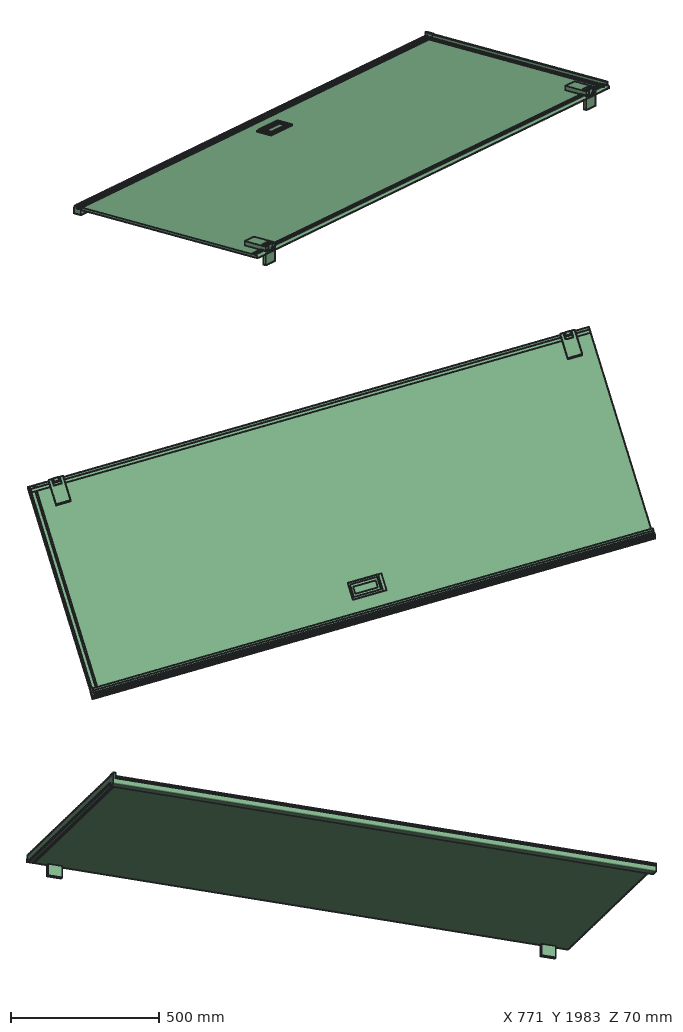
import cadquery as cq

width = 771.0
length = 1983.0
height = 70.0
left = -width / 2
right = width / 2
front = -length / 2
back = length / 2
top = height

glass_thickness = 10.0
glass_top = top - 18.0
glass_bottom = glass_top - glass_thickness
glass_front = front + 5.0

jamb_width = 30.0
jamb_base_bottom = top - 44.0
jamb_edge_radius = 2.0
wall_inset = 2.0
wall_width = 10.0
wall_chamfer = 4.0
wall_top = top - 12.9
wall_base = top - 24.0
seal_rise = 2.0
seal_top = glass_top + seal_rise
left_seal_width = 8.0

corner_block_depth = 8.0
corner_block_top = top - 4.0

flange_depth = 5.0
flange_top = top - 5.0
rail_bottom = top - 30.0
rail_depth = 25.0
rail_seal_depth = 5.0
rail_end = right - 5.0

right_seal_width = 24.0
right_seal_lip = 12.0
right_seal_radius = 8.0

hinge_centers = (892.0, -910.0)
hinge_outer = right - 2.0
hinge_width = 52.0
hinge_plate_length = 90.0
hinge_plate_top = top - 2.0
wall_leaf_thickness = 12.0
knuckle_slot_length = 24.0
knuckle_slot_width = 28.0
knuckle_width = 18.0

handle_x = -278.0
handle_width = 61.0
handle_back = 52.0
handle_front = -67.0
handle_top = top - 14.0
foot_length = 12.0
foot_top = handle_top - 2.0
recess_width = 45.0
recess_margin = 5.0
recess_depth = 2.0
opening_width = 25.0
opening_margin = 14.0


def block(x0, x1, y0, y1, z0, z1):
    """Box between two opposite corners."""
    return cq.Workplane("XY").box(x1 - x0, y1 - y0, z1 - z0, centered=False).translate((x0, y0, z0))


def make_left_jamb():
    inner = left + jamb_width
    base = block(left, inner, front, back, jamb_base_bottom, wall_base)
    base = base.edges("|Y and <X and <Z").fillet(jamb_edge_radius)
    wall = block(left + wall_inset, left + wall_inset + wall_width, front, back, wall_base, wall_top)
    wall = wall.edges("|Y and <X and >Z").chamfer(wall_chamfer)
    seal = block(inner - left_seal_width, inner, front, back, wall_base, seal_top)
    corner = block(left, inner, back - corner_block_depth, back, wall_base, corner_block_top)
    return base.union(wall).union(seal).union(corner)


def make_back_rail():
    flange = block(left, rail_end, back - flange_depth, back, rail_bottom, flange_top)
    seal_front = back - rail_depth
    seal = block(left + jamb_width, rail_end, seal_front, seal_front + rail_seal_depth, rail_bottom, seal_top)
    return flange.union(seal)


def make_right_seal():
    inner = right - right_seal_width
    seal = block(inner, right, glass_front, back, glass_bottom, glass_top)
    seal = seal.edges("|Y and >X and >Z").fillet(right_seal_radius)
    lip = block(inner, inner + right_seal_lip, glass_front, back, glass_bottom, seal_top)
    return seal.union(lip)


def make_hinge(y):
    y0 = y - hinge_width / 2
    y1 = y + hinge_width / 2
    leaf_inner = hinge_outer - wall_leaf_thickness
    plate = block(hinge_outer - hinge_plate_length, hinge_outer, y0, y1, glass_top, hinge_plate_top)
    slot_front = y - knuckle_slot_width / 2
    slot_back = y + knuckle_slot_width / 2
    slot = block(hinge_outer - knuckle_slot_length, hinge_outer, slot_front, slot_back, glass_top, top)
    leaf = block(leaf_inner, hinge_outer, y0, y1, 0, glass_top)
    knuckle_front = y - knuckle_width / 2
    knuckle_back = y + knuckle_width / 2
    knuckle = block(leaf_inner, hinge_outer, knuckle_front, knuckle_back, glass_bottom, top)
    return plate.cut(slot).union(leaf).union(knuckle)


def handle_block(x_size, y0, y1, z0, z1):
    """Box centred across the handle."""
    return block(handle_x - x_size / 2, handle_x + x_size / 2, y0, y1, z0, z1)


def make_handle():
    frame_front = handle_front + foot_length
    foot = handle_block(handle_width, handle_front, frame_front, glass_top, foot_top)
    frame = handle_block(handle_width, frame_front, handle_back, glass_top, handle_top)
    recess = handle_block(
        recess_width, frame_front + recess_margin, handle_back - recess_margin,
        handle_top - recess_depth, handle_top,
    )
    opening = handle_block(
        opening_width, frame_front + opening_margin, handle_back - opening_margin,
        glass_top, handle_top,
    )
    return foot.union(frame).cut(recess).cut(opening)


result = block(left + jamb_width / 2, right - right_seal_width, glass_front, back, glass_bottom, glass_top)
result = result.union(make_right_seal())
result = result.union(make_left_jamb())
result = result.union(make_back_rail())
for hinge_y in hinge_centers:
    result = result.union(make_hinge(hinge_y))
result = result.union(make_handle())